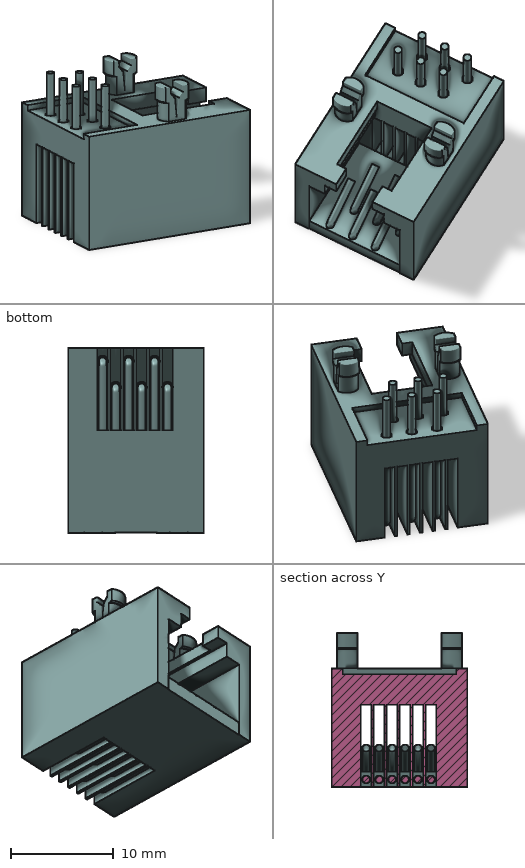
import cadquery as cq
import math


WIDTH = 13.2
DEPTH = 18.0
HEIGHT = 11.52
TOTAL_HEIGHT = 15.25

FLOOR = 1.51
CAVITY_WIDTH = 10.08
CAVITY_TOP = 8.5
CAVITY_FRONT = 8.01
FLOOR_SETBACK = 0.05

LATCH_WIDTH = 6.55
LUG_THICKNESS = 1.4
LATCH_TOP = HEIGHT - LUG_THICKNESS
WINDOW_WIDTH = 6.07
MOUTH_WIDTH = 4.03
LUG_DEPTH = 2.0

RECESS_WIDTH = 10.98
RECESS_LENGTH = 6.01
RECESS_DEPTH = 0.54

WIRE_COUNT = 6
WIRE_PITCH = 1.26
WIRE_OFFSET_X = -0.09
WIRE_DIAMETER = 0.75
BEND_RADIUS = 0.52
WIRE_CLEARANCE = 0.36
FRONT_ROW_Y = 1.28
ROW_SPACING = 2.54
WIRE_RUN = 13.07
CONTACT_LENGTH = 4.55
CONTACT_RISE_ANGLE = 27.0
HOLE_DIAMETER = 1.03
SLOT_WIDTH = 1.0
SLOT_TOP = 8.0

CLIP_SPACING = 10.15
CLIP_Y = 10.12
CLIP_WIDTH = 2.0
CLIP_HEIGHT = 3.45
LIP_HEIGHT = 1.87
LIP_TAPER = 0.15
POST_LENGTH = 2.85
POST_FLAT = 1.84
HEAD_LENGTH = 3.3
HEAD_FLAT = 2.55
CLIP_FILLET = 0.07
SPLIT_WIDTH = 1.3
SPLIT_SHOULDER = 2.8
SPLIT_NECK_WIDTH = 0.4
SPLIT_NECK = 2.29
SPLIT_BOTTOM = 0.35


def block(width, y_start, y_end, z_start, z_end):
    """Box centred on X between the given Y and Z limits."""
    size = (width, y_end - y_start, z_end - z_start)
    return cq.Workplane("XY").box(*size, centered=(True, False, False)).translate((0, y_start, z_start))


def make_housing():
    housing = block(WIDTH, 0, DEPTH, 0, HEIGHT)
    housing = housing.cut(block(CAVITY_WIDTH, CAVITY_FRONT, DEPTH, FLOOR, CAVITY_TOP))
    housing = housing.cut(block(CAVITY_WIDTH, DEPTH - FLOOR_SETBACK, DEPTH, 0, FLOOR))
    housing = housing.cut(block(LATCH_WIDTH, CAVITY_FRONT, DEPTH, CAVITY_TOP, LATCH_TOP))
    housing = housing.cut(block(WINDOW_WIDTH, CAVITY_FRONT, DEPTH - LUG_DEPTH, LATCH_TOP, HEIGHT))
    housing = housing.cut(block(MOUTH_WIDTH, DEPTH - LUG_DEPTH, DEPTH, LATCH_TOP, HEIGHT))
    return housing.cut(block(RECESS_WIDTH, 0, RECESS_LENGTH, HEIGHT - RECESS_DEPTH, HEIGHT))


def wire_positions():
    """X and Y of each wire; the wires alternate between two rows."""
    first_x = WIRE_OFFSET_X - WIRE_PITCH * (WIRE_COUNT - 1) / 2
    return [(first_x + i * WIRE_PITCH, FRONT_ROW_Y + (i % 2) * ROW_SPACING) for i in range(WIRE_COUNT)]


def wire_passage(x, y):
    """Slot open to the front and underside, plus the hole down into it from the top."""
    slot = block(SLOT_WIDTH, 0, CAVITY_FRONT, 0, SLOT_TOP).translate((x, 0, 0))
    hole = cq.Workplane("XY").center(x, y).circle(HOLE_DIAMETER / 2).extrude(HEIGHT)
    return slot.union(hole)


def make_wire(x, y):
    """Pin going down, a run to the rear inside the floor, and a contact rising back to the front."""
    rise = math.radians(CONTACT_RISE_ANGLE)
    run_z = WIRE_CLEARANCE + WIRE_DIAMETER / 2
    bend_z = run_z + BEND_RADIUS
    elbow_y = y + BEND_RADIUS
    return_y = y + WIRE_RUN
    elbow_mid = BEND_RADIUS * math.sqrt(0.5)
    bend_end = (return_y + BEND_RADIUS * math.sin(rise), bend_z + BEND_RADIUS * math.cos(rise))
    tip = (
        bend_end[0] - CONTACT_LENGTH * math.cos(rise),
        bend_end[1] + CONTACT_LENGTH * math.sin(rise),
    )
    half_turn = (math.pi - rise) / 2
    bend_mid = (
        return_y + BEND_RADIUS * math.sin(half_turn),
        bend_z - BEND_RADIUS * math.cos(half_turn),
    )
    path = (
        cq.Workplane("YZ", origin=(x, 0, 0))
        .moveTo(y, TOTAL_HEIGHT)
        .lineTo(y, bend_z)
        .threePointArc((elbow_y - elbow_mid, bend_z - elbow_mid), (elbow_y, run_z))
        .lineTo(return_y, run_z)
        .threePointArc(bend_mid, bend_end)
        .lineTo(*tip)
    )
    return cq.Workplane("XY", origin=(x, y, TOTAL_HEIGHT)).circle(WIRE_DIAMETER / 2).sweep(path)


def clip_section(length, flat, z_start, z_end):
    """Prism with flat sides across X and bowed ends along Y."""
    half_width = CLIP_WIDTH / 2
    return (
        cq.Workplane("XY", origin=(0, 0, z_start))
        .moveTo(-half_width, -flat / 2)
        .threePointArc((0, -length / 2), (half_width, -flat / 2))
        .lineTo(half_width, flat / 2)
        .threePointArc((0, length / 2), (-half_width, flat / 2))
        .close()
        .extrude(z_end - z_start)
    )


def make_clip():
    """Split post with a lipped head, standing on Z = 0 and centred on its own axis."""
    post = clip_section(POST_LENGTH, POST_FLAT, 0, CLIP_HEIGHT)
    head = clip_section(HEAD_LENGTH, HEAD_FLAT, LIP_HEIGHT, CLIP_HEIGHT)
    head = head.faces("<Z").edges("%CIRCLE").chamfer(LIP_TAPER)
    split = (
        cq.Workplane("YZ")
        .moveTo(0, SPLIT_BOTTOM)
        .lineTo(SPLIT_NECK_WIDTH / 2, SPLIT_NECK)
        .lineTo(SPLIT_WIDTH / 2, SPLIT_SHOULDER)
        .lineTo(SPLIT_WIDTH / 2, CLIP_HEIGHT)
        .lineTo(-SPLIT_WIDTH / 2, CLIP_HEIGHT)
        .lineTo(-SPLIT_WIDTH / 2, SPLIT_SHOULDER)
        .lineTo(-SPLIT_NECK_WIDTH / 2, SPLIT_NECK)
        .close()
        .extrude(CLIP_WIDTH / 2, both=True)
    )
    clip = post.union(head).cut(split)
    reach = SPLIT_WIDTH / 2 + CLIP_FILLET
    split_zone = cq.selectors.BoxSelector(
        (-CLIP_WIDTH, -reach, SPLIT_BOTTOM),
        (CLIP_WIDTH, reach, CLIP_HEIGHT - CLIP_FILLET),
    )
    rim = clip.faces(">X or <X").edges(split_zone)
    top_edges = clip.faces(">Z").edges()
    return rim.add(top_edges).fillet(CLIP_FILLET)


result = make_housing()
for wire_x, wire_y in wire_positions():
    result = result.cut(wire_passage(wire_x, wire_y))
for wire_x, wire_y in wire_positions():
    result = result.union(make_wire(wire_x, wire_y))

board_clip = make_clip()
for side in (-1, 1):
    result = result.union(board_clip.translate((side * CLIP_SPACING / 2, CLIP_Y, HEIGHT)))